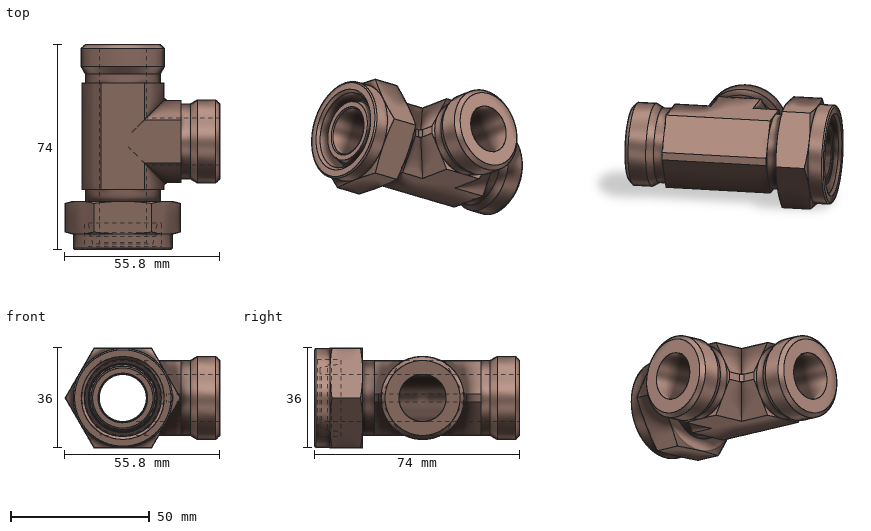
import cadquery as cq
import math


body_flats = 27.0
body_width = 29.6
body_reach = 21.0
body_back = 17.4
web_leg = 1.0

end_reach = 35.0
end_radius = 15.0
end_chamfer = 1.5
relief_radius = 13.55
relief_end = 24.4
thread_start = 27.0

nut_flats = 36.0
nut_back = 21.6
nut_shoulder = 33.45
nut_front = 39.0
collar_radius = 17.9
collar_chamfer = 0.5
corner_angle = 15
socket_radius = 13.9
socket_mouth_radius = 14.95
socket_floor = 29.45

nose_front = 36.9
nose_tip_radius = 10.9
nose_half_angle = 12
ring_place = 33.5
ring_section_radius = 0.75
ring_outer_radius = 12.05

bore_radius = 8.5
bore_chamfer = 0.45


def turned(profile):
    """Revolve (radius, distance) points about the axis, distance along +Y."""
    return cq.Workplane("XY").polyline(profile).close().revolve(360, (0, 0, 0), (0, 1, 0))


def hex_corner_radius(flats):
    return flats / 2 / math.cos(math.radians(30))


def hex_prism(flats, start, end):
    """Hexagon bar along Y with corners on the X axis and flats facing Z."""
    return (
        cq.Workplane("XZ", origin=(0, start, 0))
        .polygon(6, 2 * hex_corner_radius(flats))
        .extrude(start - end)
    )


def onto_branch(shape):
    """Turn a shape from the +Y direction to the +X direction."""
    return shape.rotate((0, 0, 0), (0, 0, 1), -90)


def body_bar(start, end):
    """Hexagon bar along Y, trimmed to the body width."""
    trim = cq.Workplane("XY").box(body_width, 2 * end_reach, body_flats)
    return hex_prism(body_flats, start, end).intersect(trim)


def male_end():
    """Male end along +Y, from the body shoulder to the end face."""
    return turned([
        (0, body_reach),
        (relief_radius, body_reach),
        (relief_radius, relief_end),
        (end_radius, thread_start),
        (end_radius, end_reach - end_chamfer),
        (end_radius - end_chamfer, end_reach),
        (0, end_reach),
    ])


def corner_web(side):
    """Triangular web between the branch and the run on one side (+1 or -1) of the branch."""
    corner = body_width / 2
    flat_height = 2 * (hex_corner_radius(body_flats) - corner) * math.tan(math.radians(60))
    return (
        cq.Workplane("XY", origin=(0, 0, -flat_height / 2))
        .polyline([
            (0, 0),
            (corner + web_leg, 0),
            (corner + web_leg, side * corner),
            (corner, side * (corner + web_leg)),
            (0, side * (corner + web_leg)),
        ])
        .close()
        .extrude(flat_height)
    )


def nut():
    corner_radius = hex_corner_radius(nut_flats)
    drop = (corner_radius - collar_radius) * math.tan(math.radians(corner_angle))
    chamfered_blank = turned([
        (0, -nut_shoulder),
        (collar_radius, -nut_shoulder),
        (corner_radius, -nut_shoulder + drop),
        (corner_radius, -nut_back - drop),
        (collar_radius, -nut_back),
        (0, -nut_back),
    ])
    hexagon = hex_prism(nut_flats, -nut_shoulder, -nut_back).intersect(chamfered_blank)
    collar = turned([
        (0, -nut_shoulder),
        (collar_radius, -nut_shoulder),
        (collar_radius, -nut_front + collar_chamfer),
        (collar_radius - collar_chamfer, -nut_front),
        (0, -nut_front),
    ])
    mouth_depth = socket_mouth_radius - socket_radius
    socket = turned([
        (0, -socket_floor),
        (socket_radius, -socket_floor),
        (socket_radius, -nut_front + mouth_depth),
        (socket_mouth_radius, -nut_front),
        (0, -nut_front),
    ])
    return hexagon.union(collar).cut(socket)


def nose():
    length = nose_front - socket_floor
    base_radius = nose_tip_radius + length * math.tan(math.radians(nose_half_angle))
    cone = turned([
        (0, -body_back),
        (relief_radius, -body_back),
        (relief_radius, -socket_floor),
        (base_radius, -socket_floor),
        (nose_tip_radius, -nose_front),
        (0, -nose_front),
    ])
    section_centre = ring_outer_radius - ring_section_radius
    ring = (
        cq.Workplane("XY")
        .center(section_centre, -ring_place)
        .circle(ring_section_radius)
        .revolve(360, (-section_centre, 0, 0), (-section_centre, 1, 0))
    )
    return cone.union(ring)


def run_bore():
    return turned([
        (0, -nose_front),
        (bore_radius + bore_chamfer, -nose_front),
        (bore_radius, -nose_front + bore_chamfer),
        (bore_radius, end_reach),
        (0, end_reach),
    ])


def branch_bore():
    return onto_branch(turned([
        (0, 0),
        (bore_radius, 0),
        (bore_radius, end_reach),
        (0, end_reach),
    ]))


result = body_bar(-body_back, body_reach)
result = result.union(onto_branch(body_bar(0, body_reach)))
for web_side in (1, -1):
    result = result.union(corner_web(web_side))
result = result.union(male_end()).union(onto_branch(male_end()))
result = result.union(nut()).union(nose())
result = result.cut(run_bore()).cut(branch_bore())